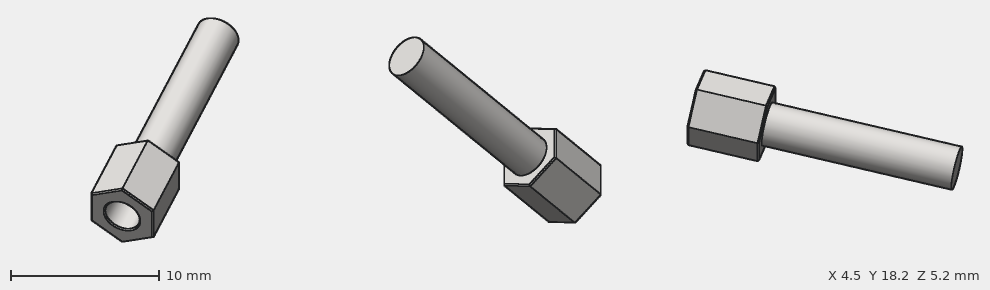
import cadquery as cq
import math

across_flats = 4.5
hex_length = 5.0
hex_chamfer = 0.1

stud_diameter = 3.0
total_length = 18.2
stud_length = total_length - hex_length

bore_diameter = 2.46
bore_depth = 4.0
bore_chamfer = 0.1
drill_tip_angle = 118.0


def make_hex_body():
    """Hexagonal prism with corners on +Z and -Z and both ends chamfered."""
    across_corners = across_flats / math.cos(math.radians(30))
    prism = (
        cq.Workplane("XZ")
        .transformed(rotate=(0, 0, 90))
        .polygon(6, across_corners)
        .extrude(-hex_length)
    )
    return prism.faces("<Y or >Y").chamfer(hex_chamfer)


def make_stud():
    """Plain round stud standing on the back face of the hexagon."""
    back_face = cq.Workplane("XZ", origin=(0, hex_length, 0))
    return back_face.circle(stud_diameter / 2).extrude(-stud_length)


def make_bore():
    """Blind drilled hole with a conical tip and a chamfered mouth."""
    radius = bore_diameter / 2
    mouth_radius = radius + bore_chamfer
    tip_depth = bore_depth + radius / math.tan(math.radians(drill_tip_angle / 2))
    half_profile = (
        cq.Workplane("XY")
        .lineTo(mouth_radius, 0)
        .lineTo(radius, bore_chamfer)
        .lineTo(radius, bore_depth)
        .lineTo(0, tip_depth)
        .close()
    )
    return half_profile.revolve(360, (0, 0, 0), (0, 1, 0))


result = make_hex_body().union(make_stud()).cut(make_bore())